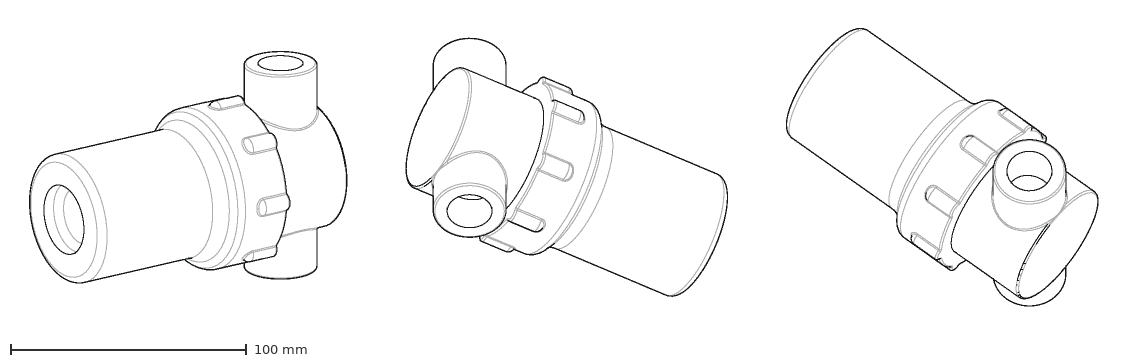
import cadquery as cq
import math

overall_length = 127
overall_height = 92.0
head_y = overall_length / 2
body_y = -overall_length / 2

head_radius = 27.5

collar_radius = 35.0
collar_back_y = head_y - 36.1
collar_length = 21.6
shoulder_radius = 4.3
cone_length = 2.3
neck_radius = 9.4
blend_angle = math.radians(45)

body_radius = 28
body_end_fillet = 3.0
recess_radius = 15.0
recess_depth = 8.0
recess_fillet = 3.0

rib_count = 8
rib_radius = 4.0
rib_crest = 37.5
rib_length = 15.2
rib_end_fillet = 2.8

port_radius = 15.5
port_bore_radius = 9.5
port_top_z = 48.0
port_bottom_z = port_top_z - overall_height
port_wall_gap = 0.1
port_y = head_y - port_radius - port_wall_gap

edge_fillet = 0.8


def make_turned_body():
    """Revolve the collar and body as one profile of (radius, y) points."""
    half_angle = blend_angle / 2
    shoulder_y = collar_back_y - collar_length
    cone_top_radius = collar_radius - shoulder_radius * (1 - math.cos(blend_angle))
    cone_top_y = shoulder_y - shoulder_radius * math.sin(blend_angle)
    shoulder_mid = (
        collar_radius - shoulder_radius * (1 - math.cos(half_angle)),
        shoulder_y - shoulder_radius * math.sin(half_angle),
    )
    neck_start_radius = body_radius + neck_radius * (1 - math.cos(blend_angle))
    neck_start_y = cone_top_y - cone_length
    neck_end_y = neck_start_y - neck_radius * math.sin(blend_angle)
    neck_mid = (
        body_radius + neck_radius * (1 - math.cos(half_angle)),
        neck_end_y + neck_radius * math.sin(half_angle),
    )
    return (
        cq.Workplane("XY")
        .moveTo(0, collar_back_y)
        .lineTo(collar_radius, collar_back_y)
        .lineTo(collar_radius, shoulder_y)
        .threePointArc(shoulder_mid, (cone_top_radius, cone_top_y))
        .lineTo(neck_start_radius, neck_start_y)
        .threePointArc(neck_mid, (body_radius, neck_end_y))
        .lineTo(body_radius, body_y)
        .lineTo(0, body_y)
        .close()
        .revolve(360, (0, 0, 0), (0, 1, 0))
        .faces("<Y")
        .edges()
        .fillet(body_end_fillet)
    )


def make_recess():
    """Round pocket in the body end with a rounded floor corner."""
    return (
        cq.Workplane("XZ", origin=(0, body_y, 0))
        .circle(recess_radius)
        .extrude(-recess_depth)
        .faces(">Y")
        .edges()
        .fillet(recess_fillet)
    )


def make_rib(angle):
    """Rod along the collar with a rounded front end, turned to its place about Y."""
    return (
        cq.Workplane("XZ", origin=(0, collar_back_y, 0))
        .center(0, rib_crest - rib_radius)
        .circle(rib_radius)
        .extrude(rib_length)
        .faces("<Y")
        .edges()
        .fillet(rib_end_fillet)
        .rotate((0, 0, 0), (0, 1, 0), angle)
    )


def add_ribs(part):
    """Add the ribs, then round their feet and the back edge they share with the collar."""
    for index in range(rib_count):
        part = part.union(make_rib(index * 360 / rib_count))
    foot_zone = cq.selectors.BoxSelector(
        (-rib_crest, collar_back_y - rib_length, -rib_crest),
        (rib_crest, collar_back_y - edge_fillet, rib_crest),
    )
    feet = part.edges(foot_zone).edges("%LINE or %BSPLINE")
    return feet.fillet(edge_fillet).faces(">Y").edges().fillet(edge_fillet)


def make_head():
    """Head cylinder with a rounded rim and both ports, rounded where the ports meet it."""
    core = (
        cq.Workplane("XZ", origin=(0, head_y, 0))
        .circle(head_radius)
        .extrude(head_y - collar_back_y)
        .faces(">Y")
        .edges()
        .fillet(edge_fillet)
    )
    base = cq.Workplane("XY", origin=(0, port_y, port_bottom_z))
    tubes = base.circle(port_radius).extrude(overall_height).edges("%CIRCLE").fillet(edge_fillet)
    bores = base.circle(port_bore_radius).extrude(overall_height).cut(core)
    port_feet = core.union(tubes).edges("%BSPLINE")
    return port_feet.fillet(edge_fillet).cut(bores)


result = add_ribs(make_turned_body()).union(make_head()).cut(make_recess())